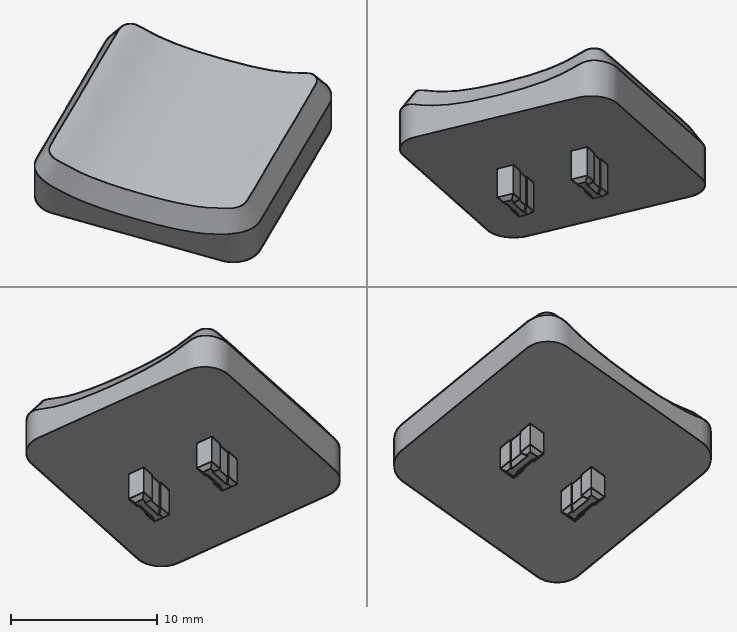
import cadquery as cq

cap_side = 16.5
cap_corner_radius = 2.0
half_side = cap_side / 2

rim_height = 4.25
dish_floor_height = 3.17
dish_floor_handle = 6.3
dish_rim_handle = 3.0
dish_rim_handle_rise = 0.2

bevel_inset = 1.0
bevel_drop = 1.5

pin_spacing = 5.7
pin_width = 1.25
pin_length = 3.0
pin_drop = 2.5
pin_chamfer = 0.3
groove_width = 1.0
groove_depth = 0.1


def right_half_block():
    """Right half of the unbevelled cap; one S-shaped curve forms its half of the dish."""
    dish_curve = [
        (0, dish_floor_height),
        (dish_floor_handle, dish_floor_height),
        (half_side - dish_rim_handle, rim_height + dish_rim_handle_rise),
        (half_side, rim_height),
    ]
    profile = (
        cq.Workplane("XZ", origin=(0, half_side, 0))
        .lineTo(0, dish_floor_height)
        .bezier(dish_curve)
        .lineTo(half_side, 0)
        .close()
    )
    return profile.extrude(cap_side).edges("|Z and >X").fillet(cap_corner_radius)


def cap():
    """Both halves of the cap, bevelled along the outline of the dish and meeting at X = 0."""
    block = right_half_block()
    dish_outline = block.edges("not(|Z or <Z or <X)")
    right_half = dish_outline.chamfer(bevel_inset, bevel_drop)
    return right_half.union(right_half.mirror("YZ"), clean=False)


def pin():
    """One pin, centred on the Z axis, with its lower end chamfered."""
    blank = cq.Workplane("XY").rect(pin_width, pin_length).extrude(-pin_drop)
    grooves = (
        cq.Workplane("XY")
        .pushPoints([(-pin_width / 2, 0), (pin_width / 2, 0)])
        .rect(2 * groove_depth, groove_width)
        .extrude(-pin_drop)
    )
    return blank.cut(grooves).faces("<Z").edges().chamfer(pin_chamfer)


result = cap()
for side in (-1, 1):
    result = result.union(pin().translate((side * pin_spacing / 2, 0, 0)), clean=False)